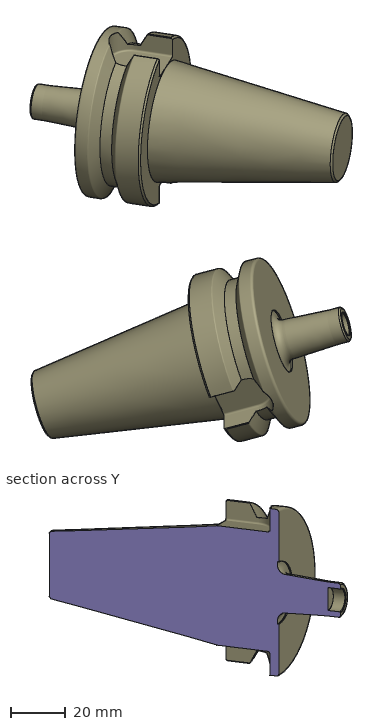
import cadquery as cq
import math

collar_end = 4.8
nose_taper_end = 21.0
fillet_start = 22.1
flange_front = 24.8
groove_floor_start = 33.1
groove_floor_end = 37.6
flange_back = 50.0
total_length = 117.4

collar_radius = 13.0 / 2
nose_radius = 14.7 / 2
nose_chamfer = 0.6
bore_radius = 8.5 / 2
bore_chamfer = 0.29
bore_depth = 4.9

root_fillet = 3.23
recess_radius = 11.68

flange_radius = 63.0 / 2
groove_radius = 26.4
groove_flank_angle = 30.0
flange_front_fillet = 1.0
groove_edge_fillet = 0.7
flange_back_chamfer = 0.7

shank_radius = 22.5
taper_ratio = 7 / 24
shank_end_chamfer = 0.7

slot_half_width = 8.04
slot_floor_height = 22.6
slot_arc_center = 36.6
slot_floor_fillet = 0.7
slot_edge_chamfer = 0.4

recess_floor = fillet_start + root_fillet
fillet_center_radius = nose_radius + root_fillet
flank_length = (flange_radius - groove_radius) * math.tan(math.radians(groove_flank_angle))
groove_start = groove_floor_start - flank_length
groove_end = groove_floor_end + flank_length
shank_end_radius = shank_radius - (total_length - flange_back) * taper_ratio / 2
shank_chamfer_radius = shank_end_radius + shank_end_chamfer * taper_ratio / 2


def revolve_about_x(profile):
    """Revolve a closed XY profile a full turn about the X axis."""
    return profile.close().revolve(360, (0, 0, 0), (1, 0, 0))


def make_nose():
    """Nose, which flares through the root fillet into the recess floor."""
    diagonal = root_fillet * math.sqrt(0.5)
    fillet_middle = (fillet_start + diagonal, fillet_center_radius - diagonal)
    return revolve_about_x(
        cq.Workplane("XY")
        .lineTo(0, collar_radius - nose_chamfer)
        .lineTo(nose_chamfer, collar_radius)
        .lineTo(collar_end, collar_radius)
        .lineTo(nose_taper_end, nose_radius)
        .lineTo(fillet_start, nose_radius)
        .threePointArc(fillet_middle, (recess_floor, fillet_center_radius))
        .lineTo(recess_floor, 0)
    )


def make_flange():
    """Grooved flange with rounded groove edges and a recessed front face."""
    flange = revolve_about_x(
        cq.Workplane("XY")
        .moveTo(recess_floor, 0)
        .lineTo(recess_floor, recess_radius)
        .lineTo(flange_front, recess_radius)
        .lineTo(flange_front, flange_radius)
        .lineTo(groove_start, flange_radius)
        .lineTo(groove_floor_start, groove_radius)
        .lineTo(groove_floor_end, groove_radius)
        .lineTo(groove_end, flange_radius)
        .lineTo(flange_back - flange_back_chamfer, flange_radius)
        .lineTo(flange_back, flange_radius - flange_back_chamfer)
        .lineTo(flange_back, 0)
    )

    def rim_edges(x):
        """Select the largest circle in the plane at x."""
        margin = 0.01
        reach = flange_radius + margin
        low_corner = (x - margin, -reach, -reach)
        high_corner = (x + margin, reach, reach)
        box = cq.selectors.BoxSelector(low_corner, high_corner, boundingbox=True)
        rim = cq.selectors.RadiusNthSelector(-1)
        return flange.edges(box).edges(rim)

    flange = rim_edges(flange_front).fillet(flange_front_fillet)
    for x in (groove_start, groove_end):
        flange = rim_edges(x).fillet(groove_edge_fillet)
    return flange


def make_shank():
    """Tapered shank with a chamfered small end."""
    return revolve_about_x(
        cq.Workplane("XY")
        .moveTo(flange_back, 0)
        .lineTo(flange_back, shank_radius)
        .lineTo(total_length - shank_end_chamfer, shank_chamfer_radius)
        .lineTo(total_length, shank_end_radius - shank_end_chamfer)
        .lineTo(total_length, 0)
    )


def make_slot_cutter():
    """Round-nosed cutter for the +Z drive slot, rounded at its floor."""
    height = flange_radius - slot_floor_height
    overrun = 2.3
    cutter = (
        cq.Workplane("XY", origin=(0, 0, slot_floor_height))
        .moveTo(flange_back + overrun, slot_half_width)
        .lineTo(slot_arc_center, slot_half_width)
        .threePointArc(
            (slot_arc_center - slot_half_width, 0),
            (slot_arc_center, -slot_half_width),
        )
        .lineTo(flange_back + overrun, -slot_half_width)
        .close()
        .extrude(height)
    )
    return cutter.faces("<Z").edges("not >X").fillet(slot_floor_fillet)


def make_slot_edge_chamfer():
    """V-shaped cutter that breaks the long outer edges of the +Z slot."""
    rim_height = math.sqrt(flange_radius**2 - slot_half_width**2)
    outer_half_width = slot_half_width + slot_edge_chamfer
    return (
        cq.Workplane("YZ", origin=(groove_floor_end, 0, 0))
        .moveTo(-slot_half_width, rim_height - slot_edge_chamfer)
        .lineTo(slot_half_width, rim_height - slot_edge_chamfer)
        .lineTo(outer_half_width, rim_height)
        .lineTo(outer_half_width, flange_radius)
        .lineTo(-outer_half_width, flange_radius)
        .lineTo(-outer_half_width, rim_height)
        .close()
        .extrude(flange_back - groove_floor_end)
    )


def make_bore():
    """Blind bore in the nose with a chamfered mouth."""
    return revolve_about_x(
        cq.Workplane("XY")
        .lineTo(0, bore_radius + bore_chamfer)
        .lineTo(bore_chamfer, bore_radius)
        .lineTo(bore_depth, bore_radius)
        .lineTo(bore_depth, 0)
    )


result = make_nose().union(make_flange()).union(make_shank()).cut(make_bore())
for turn in (0, 180):
    for cutter in (make_slot_cutter(), make_slot_edge_chamfer()):
        result = result.cut(cutter.rotate((0, 0, 0), (1, 0, 0), turn))